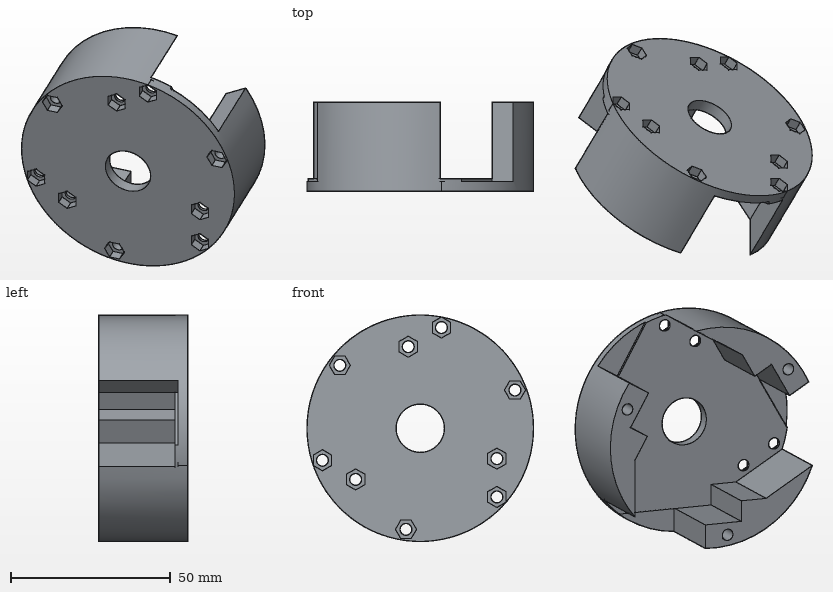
import cadquery as cq
import math

outer_radius = 35.5
total_depth = 28.0
plate_thickness = 4.05
bore_diameter = 15.05

opening_left = 3.1
opening_right = 27.1

recess_depth = 0.9
recess_edge_z = -27.75

wall_thin_z = recess_edge_z
wall_thick_z = -21.15
wall_step_x = -9.15

screw_diameter = 3.6
nut_corner_diameter = 6.6
nut_depth = plate_thickness - recess_depth
opening_screw_x = 24.0
opening_screw_z = (-9.5, -21.5)
wall_screw = (-4.5, -31.7)

copies = 3
copy_angle = 360 / copies


def sketch_at(y):
    """Workplane at depth y, with local x along X and local y along Z."""
    return cq.Workplane("XZ", origin=(0, y, 0))


def around_axis(shape):
    """Join the copies of a shape that repeat around the Y axis."""
    joined = shape
    for copy in range(1, copies):
        joined = joined.union(shape.rotate((0, 0, 0), (0, 1, 0), copy * copy_angle))
    return joined


def make_drum(depth):
    return sketch_at(0).circle(outer_radius).extrude(-depth)


def left_face_x(z):
    """X of the wall's left end face, which is the opening_right side turned back by one copy."""
    tilt = math.radians(180 - copy_angle)
    return -(opening_right + z * math.sin(tilt)) / math.cos(tilt)


def make_wall():
    """Wall with flat inner and end faces; it runs past the rim and is trimmed by the drum."""
    outside_x = left_face_x(0)
    outside_z = -2 * outer_radius
    return (
        sketch_at(0)
        .moveTo(opening_left, outside_z)
        .lineTo(opening_left, wall_thin_z)
        .lineTo(wall_step_x, wall_thin_z)
        .lineTo(wall_step_x, wall_thick_z)
        .lineTo(left_face_x(wall_thick_z), wall_thick_z)
        .lineTo(outside_x, 0)
        .lineTo(outside_x, outside_z)
        .close()
        .extrude(-total_depth)
        .intersect(make_drum(total_depth))
    )


def make_recess():
    """Cutter for the rim recess, running outward from its straight inner edge."""
    return (
        sketch_at(plate_thickness - recess_depth)
        .moveTo(opening_left, recess_edge_z)
        .lineTo(opening_right, recess_edge_z)
        .lineTo(opening_right, -outer_radius)
        .lineTo(opening_left, -outer_radius)
        .close()
        .extrude(-recess_depth)
    )


def make_screw_hole(place, nut_turn):
    """Cutter for a through hole and its nut pocket, turned about the hole axis."""
    hole = sketch_at(0).circle(screw_diameter / 2).extrude(-total_depth)
    nut = sketch_at(0).polygon(6, nut_corner_diameter).extrude(-nut_depth)
    nut = nut.rotate((0, 0, 0), (0, 1, 0), nut_turn)
    return hole.union(nut).translate((place[0], 0, place[1]))


recessed_plate = make_drum(plate_thickness).cut(around_axis(make_recess()))
body = recessed_plate.union(around_axis(make_wall()))

bore = sketch_at(0).circle(bore_diameter / 2).extrude(-total_depth)
body = body.cut(bore)

body = body.cut(around_axis(make_screw_hole(wall_screw, 0)))
for screw_z in opening_screw_z:
    body = body.cut(around_axis(make_screw_hole((opening_screw_x, screw_z), 30)))

result = body.clean()